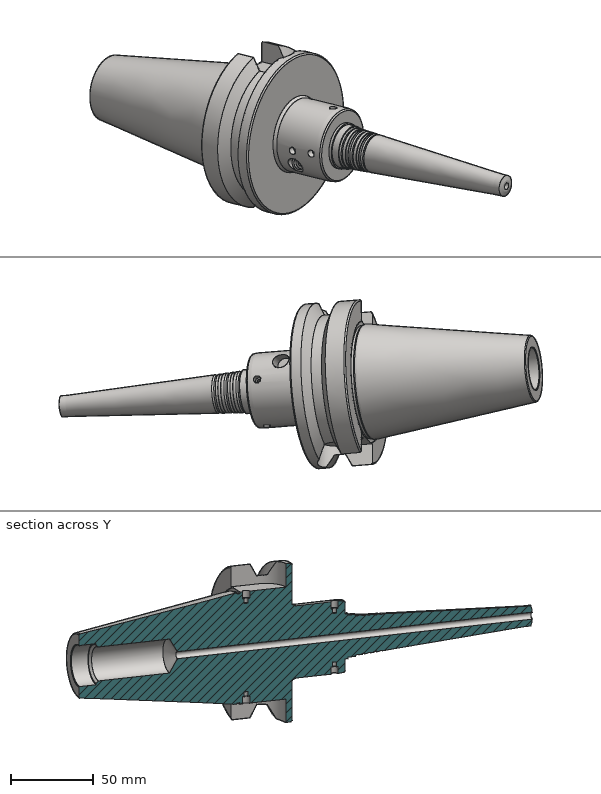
import cadquery as cq
import math


TAPER_SLOPE = 7 / 48
TAPER_END = 101.5
GAUGE_RADIUS = 35.0
SHANK_CHAMFER = 0.5
SHANK_RADIUS = GAUGE_RADIUS - TAPER_END * TAPER_SLOPE
NECK_STEP_X = 103.0
NECK_STEP_LENGTH = 1.0
NECK_RADIUS = 34.5

FLANGE_BACK = 104.8
FLANGE_FRONT = 139.8
FLANGE_RADIUS = 100.0 / 2
FLANGE_CHAMFER = 1.0
GRIP_CENTER = 125.0
GRIP_FLOOR_WIDTH = 6.5
GRIP_FLOOR_RADIUS = 42.5
GRIP_HALF_FLOOR = GRIP_FLOOR_WIDTH / 2
GRIP_WALL_ANGLE = 30
GRIP_DEPTH = FLANGE_RADIUS - GRIP_FLOOR_RADIUS
GRIP_HALF_MOUTH = GRIP_HALF_FLOOR + GRIP_DEPTH * math.tan(math.radians(GRIP_WALL_ANGLE))
FACE_RELIEF_RADIUS = 36.8
FACE_RELIEF_DEPTH = 0.5

KEYWAY_WIDTH = 25.5
KEYWAY_END = 135.3
KEYWAY_FLOOR = 35.3

BODY_RADIUS = 23.0
BODY_FLARE = 1.05
BODY_FLARE_END = 142.0
BODY_CHAMFER_START = 171.0
BODY_END = 174.5
BODY_END_RADIUS = 21.7
BODY_SHOULDER_X = 173.5
BODY_SHOULDER_RADIUS = 22.5

COLLAR_RADIUS = 14.2
COLLAR_END = 176.3
RING_RADIUS = 13.5
RING_END = 181.0
CONE_START_RADIUS = 12.8
TIP_START = 291.8
TIP_RADIUS = 6.5
TIP_CHAMFER_START = 296.0
TIP_FACE_RADIUS = 3.5
LENGTH = 296.8

GROOVE_PITCH = 7.7
GROOVE_DEPTH = 0.45
V_GROOVE_X = 182.2
V_GROOVE_COUNT = 3
V_GROOVE_WIDTH = 2.5
FLAT_GROOVE_X = 186.5
FLAT_GROOVE_COUNT = 2
FLAT_GROOVE_WIDTH = 1.8

MOUTH_RADIUS = 12.8
MOUTH_DEPTH = 11.3
MOUTH_CHAMFER = 0.45
THREAD_RADIUS = 21.0 / 2
THREAD_CHAMFER = 1.5
THREAD_END = 59.5
COOLANT_RADIUS = 4.2 / 2
DRILL_HALF_ANGLE = 59

HOLE_CLEARANCE = 6.0
SCREW_DIAMETER = 4.5
SCREW_DEPTH = 4.5
SCREW_TIP_DIAMETER = 2.32
SCREW_TIP_DEPTH = 3.0
FRONT_SCREW_X = 167.5
KEY_SCREW_X = 109.5
CLAMP_X = 153.5
CLAMP_OFFSET = 11.5
PIN_OFFSET = 1.2
CLAMP_SEAT_DIAMETER = 10.0
CLAMP_SEAT_DEPTH = 3.5
CLAMP_POCKET_DEPTH = 12.0
CLAMP_STEPS = ((7.0, 1.8), (3.5, 3.0))


def revolve(points):
    """Revolve an (x, radius) outline about the X axis."""
    return cq.Workplane("XY").polyline(points).close().revolve(360, (0, 0, 0), (1, 0, 0))


def cone_radius(x):
    """Radius of the nose cone at x."""
    along = (x - RING_END) / (TIP_START - RING_END)
    return CONE_START_RADIUS + along * (TIP_RADIUS - CONE_START_RADIUS)


def outer_body():
    chamfered_radius = FLANGE_RADIUS - FLANGE_CHAMFER
    return revolve([
        (0, 0),
        (0, SHANK_RADIUS - SHANK_CHAMFER),
        (SHANK_CHAMFER, SHANK_RADIUS + SHANK_CHAMFER * TAPER_SLOPE),
        (TAPER_END, GAUGE_RADIUS),
        (NECK_STEP_X, GAUGE_RADIUS),
        (NECK_STEP_X + NECK_STEP_LENGTH, NECK_RADIUS),
        (FLANGE_BACK + FACE_RELIEF_DEPTH, NECK_RADIUS),
        (FLANGE_BACK + FACE_RELIEF_DEPTH, FACE_RELIEF_RADIUS),
        (FLANGE_BACK, FACE_RELIEF_RADIUS),
        (FLANGE_BACK, chamfered_radius),
        (FLANGE_BACK + FLANGE_CHAMFER, FLANGE_RADIUS),
        (GRIP_CENTER - GRIP_HALF_MOUTH, FLANGE_RADIUS),
        (GRIP_CENTER - GRIP_HALF_FLOOR, GRIP_FLOOR_RADIUS),
        (GRIP_CENTER + GRIP_HALF_FLOOR, GRIP_FLOOR_RADIUS),
        (GRIP_CENTER + GRIP_HALF_MOUTH, FLANGE_RADIUS),
        (FLANGE_FRONT - FLANGE_CHAMFER, FLANGE_RADIUS),
        (FLANGE_FRONT, chamfered_radius),
        (FLANGE_FRONT, BODY_RADIUS + BODY_FLARE),
        (BODY_FLARE_END, BODY_RADIUS),
        (BODY_CHAMFER_START, BODY_RADIUS),
        (BODY_SHOULDER_X, BODY_SHOULDER_RADIUS),
        (BODY_END, BODY_END_RADIUS),
        (BODY_END, COLLAR_RADIUS),
        (COLLAR_END, COLLAR_RADIUS),
        (COLLAR_END, RING_RADIUS),
        (RING_END, RING_RADIUS),
        (RING_END, CONE_START_RADIUS),
        (TIP_START, TIP_RADIUS),
        (TIP_CHAMFER_START, TIP_RADIUS),
        (LENGTH, TIP_FACE_RADIUS),
        (LENGTH, 0),
    ])


def v_groove(x):
    half = V_GROOVE_WIDTH / 2
    return revolve([
        (x - half, cone_radius(x - half)),
        (x, cone_radius(x) - GROOVE_DEPTH),
        (x + half, cone_radius(x + half)),
        (x + half, RING_RADIUS),
        (x - half, RING_RADIUS),
    ])


def flat_groove(x):
    half = FLAT_GROOVE_WIDTH / 2
    floor = cone_radius(x) - GROOVE_DEPTH
    return revolve([
        (x - half, floor),
        (x + half, floor),
        (x + half, RING_RADIUS),
        (x - half, RING_RADIUS),
    ])


def axial_bore():
    drill_tip = (THREAD_RADIUS - COOLANT_RADIUS) / math.tan(math.radians(DRILL_HALF_ANGLE))
    return revolve([
        (0, 0),
        (0, MOUTH_RADIUS + MOUTH_CHAMFER),
        (MOUTH_CHAMFER, MOUTH_RADIUS),
        (MOUTH_DEPTH, MOUTH_RADIUS),
        (MOUTH_DEPTH, THREAD_RADIUS + THREAD_CHAMFER),
        (MOUTH_DEPTH + THREAD_CHAMFER, THREAD_RADIUS),
        (THREAD_END, THREAD_RADIUS),
        (THREAD_END + drill_tip, COOLANT_RADIUS),
        (LENGTH, COOLANT_RADIUS),
        (LENGTH, 0),
    ])


def keyway():
    """Cutter for the keyway at +Z, with a half-round front end."""
    half = KEYWAY_WIDTH / 2
    return (
        cq.Workplane("XY", origin=(0, 0, KEYWAY_FLOOR))
        .moveTo(FLANGE_BACK, -half)
        .lineTo(KEYWAY_END - half, -half)
        .threePointArc((KEYWAY_END, 0), (KEYWAY_END - half, half))
        .lineTo(FLANGE_BACK, half)
        .close()
        .extrude(FLANGE_RADIUS)
    )


def stepped_hole(x, angle, surface_radius, steps, offset=0):
    """Cutter at x made of (diameter, depth) steps, shifted sideways by offset.

    The angle turns from +Z towards -Y.
    """
    cutter = cq.Workplane("XY")
    top = surface_radius + HOLE_CLEARANCE
    bottom = surface_radius
    for diameter, depth in steps:
        bottom -= depth
        step = cq.Workplane("XY", origin=(x, offset, bottom)).circle(diameter / 2).extrude(top - bottom)
        cutter = cutter.union(step)
        top = bottom
    return cutter.rotate((0, 0, 0), (1, 0, 0), angle)


result = outer_body()

for index in range(V_GROOVE_COUNT):
    result = result.cut(v_groove(V_GROOVE_X + index * GROOVE_PITCH))
for index in range(FLAT_GROOVE_COUNT):
    result = result.cut(flat_groove(FLAT_GROOVE_X + index * GROOVE_PITCH))

result = result.cut(axial_bore())

screw = ((SCREW_DIAMETER, SCREW_DEPTH), (SCREW_TIP_DIAMETER, SCREW_TIP_DEPTH))
for angle in (0, 180):
    result = result.cut(keyway().rotate((0, 0, 0), (1, 0, 0), angle))
    result = result.cut(stepped_hole(KEY_SCREW_X, angle, KEYWAY_FLOOR, screw))

for angle in (0, 90, 180, 270):
    result = result.cut(stepped_hole(FRONT_SCREW_X, angle, BODY_RADIUS, screw))

clamp_face = math.sqrt(BODY_RADIUS**2 - CLAMP_OFFSET**2)
clamp = ((CLAMP_SEAT_DIAMETER, CLAMP_SEAT_DEPTH),) + CLAMP_STEPS
pocket = ((CLAMP_SEAT_DIAMETER, CLAMP_POCKET_DEPTH),)
result = result.cut(stepped_hole(CLAMP_X, 90, BODY_RADIUS, screw, -PIN_OFFSET))
result = result.cut(stepped_hole(CLAMP_X, 90, clamp_face, clamp, -CLAMP_OFFSET))
result = result.cut(stepped_hole(CLAMP_X, -90, clamp_face, pocket, -CLAMP_OFFSET))